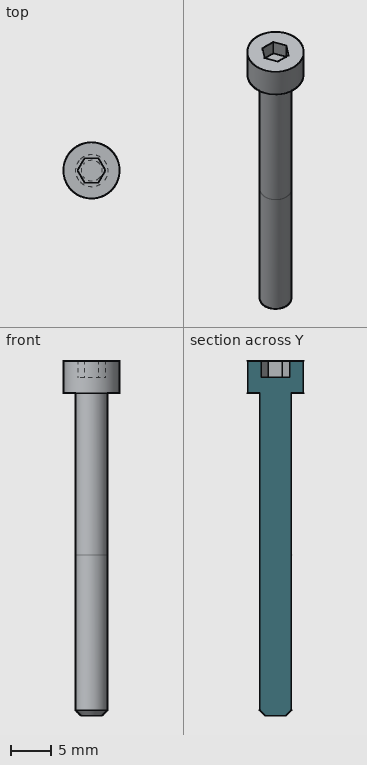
import cadquery as cq
import math

thread_diameter = 4.0
shank_length = 40.0
thread_length = 20.0
head_diameter = 7.0
head_height = thread_diameter
tip_chamfer = 0.7
hex_sides = 6
hex_across_flats = 3.0
hex_depth = 2.0


def make_head():
    return cq.Workplane("XY").circle(head_diameter / 2).extrude(head_height)


def make_plain_shank():
    plain_length = shank_length - thread_length
    return cq.Workplane("XY").circle(thread_diameter / 2).extrude(-plain_length)


def make_threaded_shank():
    """Thread simplified to a plain cylinder with a chamfered tip."""
    return (
        cq.Workplane("XY", origin=(0, 0, -shank_length))
        .circle(thread_diameter / 2)
        .extrude(thread_length)
        .faces("<Z")
        .chamfer(tip_chamfer)
    )


def make_hex_socket():
    """Hexagonal prism with two corners on the X axis."""
    hex_across_corners = hex_across_flats / math.cos(math.pi / hex_sides)
    return (
        cq.Workplane("XY", origin=(0, 0, head_height))
        .polygon(hex_sides, hex_across_corners)
        .extrude(-hex_depth)
    )


shank = make_plain_shank().union(make_threaded_shank(), clean=False)
result = make_head().union(shank, clean=False).cut(make_hex_socket(), clean=False)